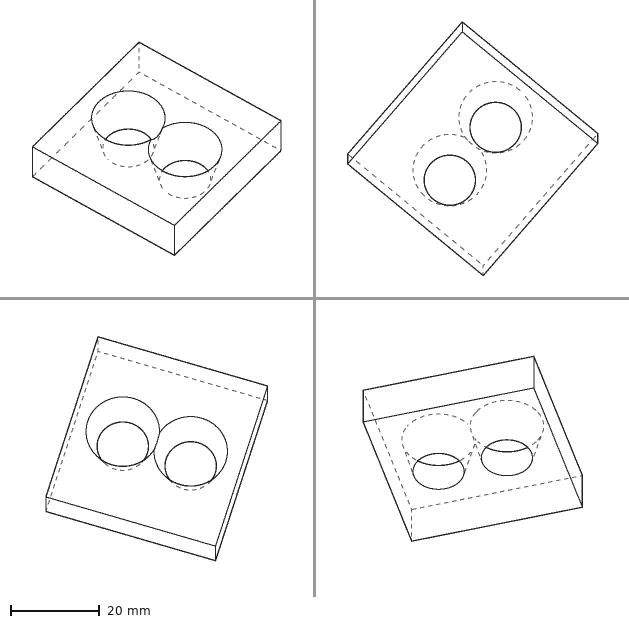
import cadquery as cq

side = 40.0
thickness = 10.0

hole_spacing = 16.0
top_radius = 8.3
bottom_radius = 5.75


def tapered_hole(x):
    """Cone narrowing from the top face to the bottom face, centred at x."""
    return (
        cq.Workplane("XZ")
        .polyline([(0, 0), (bottom_radius, 0), (top_radius, thickness), (0, thickness)])
        .close()
        .revolve(360, (0, 0, 0), (0, 1, 0))
        .translate((x, 0, 0))
    )


result = cq.Workplane("XY").box(side, side, thickness, centered=(True, True, False))
for x in (-hole_spacing / 2, hole_spacing / 2):
    result = result.cut(tapered_hole(x))